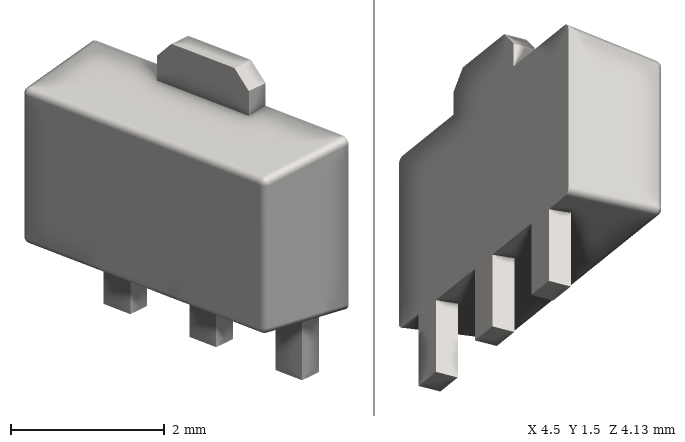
import cadquery as cq

housing_width = 4.5
housing_height = 2.5
housing_depth = 1.5
draft_angle = 5.0
edge_radius = 0.1

metal_thickness = 0.33
lead_width = 0.465
lead_pitch = 1.5
lead_length = 1.05
tab_width = 1.6
tab_height = 0.58
tab_chamfer = 0.25

housing_top = housing_height / 2
housing_bottom = -housing_top
lead_end = housing_bottom - lead_length
tab_top = housing_top + tab_height

wall_overlap = edge_radius


def make_housing_blank():
    """Drafted block with rounded front and side edges and a sharp back edge."""
    block = (
        cq.Workplane("XZ")
        .rect(housing_width, housing_height)
        .extrude(housing_depth, taper=draft_angle)
    )
    return block.edges("not >Y").fillet(edge_radius)


def make_strip(center_x, bottom, top):
    """Straight metal strip of lead width between two heights."""
    return (
        cq.Workplane("XZ")
        .center(center_x, (bottom + top) / 2)
        .rect(lead_width, top - bottom)
        .extrude(metal_thickness)
    )


def make_tab(housing_blank):
    """Tab with two chamfered top corners, seated against the drafted top wall."""
    bottom = housing_top - wall_overlap
    tab = (
        cq.Workplane("XZ")
        .center(0, (bottom + tab_top) / 2)
        .rect(tab_width, tab_top - bottom)
        .extrude(metal_thickness)
        .edges("|Y and >Z")
        .chamfer(tab_chamfer)
    )
    return tab.cut(housing_blank)


def make_side_lead(center_x, housing_blank):
    """Outer lead whose upper end rests against the drafted bottom wall."""
    return make_strip(center_x, lead_end, housing_bottom + wall_overlap).cut(housing_blank)


def make_center_lead(housing_blank):
    """Middle lead running up through the housing and joined to the tab."""
    return make_strip(0, lead_end, housing_top + wall_overlap).union(make_tab(housing_blank))


housing_blank = make_housing_blank()
center_lead = make_center_lead(housing_blank)
side_leads = [make_side_lead(side * lead_pitch, housing_blank) for side in (-1, 1)]

housing = housing_blank.cut(center_lead)

result = cq.Compound.makeCompound(
    [body.solids().val() for body in (housing, center_lead, *side_leads)]
)